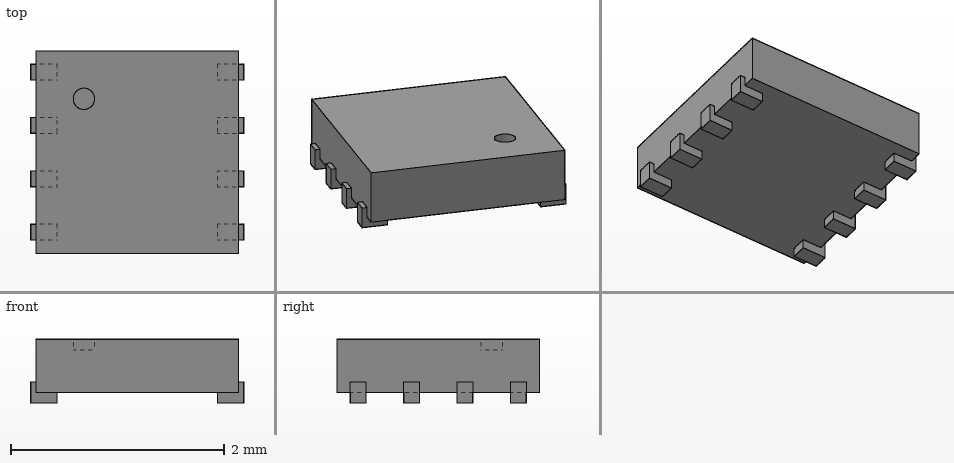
import cadquery as cq

overall_length = 2.0
body_side = 1.9
body_height = 0.5
standoff = 0.1

lead_length = 0.25
lead_width = 0.15
lead_height = 0.2
lead_pitch = 0.5
leads_per_side = 4

marker_diameter = 0.2
marker_depth = 0.1
marker_offset = 0.5

body_top = standoff + body_height


def make_body():
    return (
        cq.Workplane("XY", origin=(0, 0, standoff))
        .box(body_side, body_side, body_height, centered=(True, True, False))
    )


def make_leads():
    row_spacing = overall_length - lead_length
    return (
        cq.Workplane("XY")
        .rarray(row_spacing, lead_pitch, 2, leads_per_side)
        .rect(lead_length, lead_width)
        .extrude(lead_height)
    )


def make_marker():
    return (
        cq.Workplane("XY", origin=(-marker_offset, marker_offset, body_top - marker_depth))
        .circle(marker_diameter / 2)
        .extrude(marker_depth)
    )


result = make_body().union(make_leads()).cut(make_marker())